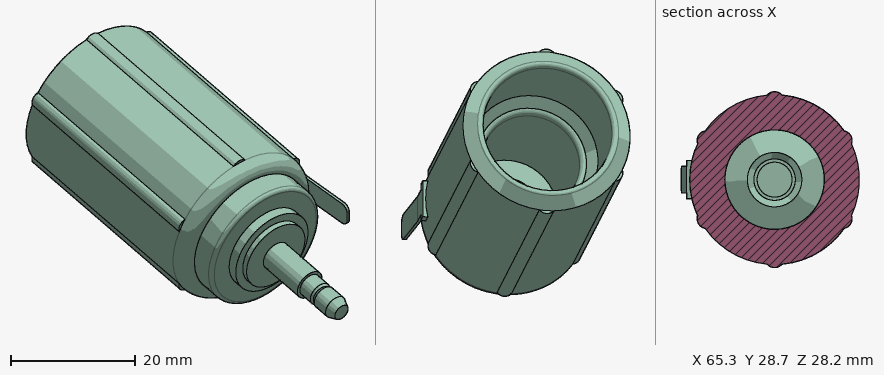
import cadquery as cq
import math

TOTAL_LENGTH = 65.25

BODY_RADIUS = 13.65
BODY_LENGTH = 41.5
BACK_FILLET = 2.4
MOUTH_ANGLE = math.radians(32)
LIP_RADIUS = 0.65
BORE_RADIUS = 10.5
BORE_DEPTH = 13.05
SHELF_RADIUS = 8.95
SHELF_FILLET = 0.9
WELL_RADIUS = 7.95
FLOOR_THICKNESS = 5.9
FLOOR_ANGLE = math.radians(18)
FUNNEL_RADIUS = 4.4
FUNNEL_ANGLE = math.radians(24)
SOCKET_RADIUS = 3.3

RIB_COUNT = 6
RIB_TIP_DIAMETER = 28.25
RIB_ROUND = 1.55

CLIP_START = 34.6
CLIP_END = 48.6
CLIP_THICKNESS = 0.49
CLIP_TOP = 14.1
CLIP_TIP_TOP = 15.0
CLIP_BEND = 39.15
CLIP_ROOT_DEPTH = 0.8
CLIP_WIDTH = 4.3
CLIP_TIP_FILLET = 1.25
CLIP_HEAD_LENGTH = 1.75
CLIP_HEAD_WIDTH = 6.2

BUTTON_RADIUS = 2.8
BUTTON_HEIGHT = 0.2
COLLAR_RADIUS = 11.15
COLLAR_END = 45.75
COLLAR_FILLET = 0.65
FLANGE_RADIUS = 7.45
FLANGE_END = 47.4
RING_RADIUS = 6.0
RING_END = 48.4
SHAFT_RADIUS = 2.55
SHAFT_END = 57.1
PIN_RADIUS = 2.0
GROOVE_START = 59.75
GROOVE_BOTTOM = 60.15
GROOVE_END = 60.75
GROOVE_RADIUS = 1.7
GROOVE_ROUND = 0.7
TIP_START = 63.7
TIP_RADIUS = 1.4

lip_center_radius = BORE_RADIUS + LIP_RADIUS
lip_end_x = LIP_RADIUS * (1 - math.cos(MOUTH_ANGLE))
lip_end_radius = lip_center_radius + LIP_RADIUS * math.sin(MOUTH_ANGLE)
mouth_length = lip_end_x + (BODY_RADIUS - lip_end_radius) * math.tan(MOUTH_ANGLE)

shelf_x = BORE_DEPTH + BORE_RADIUS - SHELF_RADIUS
shelf_edge_radius = WELL_RADIUS + SHELF_FILLET
floor_x = BODY_LENGTH - FLOOR_THICKNESS
funnel_x = floor_x - (WELL_RADIUS - FUNNEL_RADIUS) * math.tan(FLOOR_ANGLE)
socket_x = funnel_x + (FUNNEL_RADIUS - SOCKET_RADIUS) * math.tan(FUNNEL_ANGLE)

rib_end = BODY_LENGTH - BACK_FILLET


def arc_point(center_x, center_radius, radius, angle):
    """Point of a profile arc, at an angle counted from +X towards larger radius."""
    return (center_x + radius * math.cos(angle), center_radius + radius * math.sin(angle))


def turn(profile):
    """Revolve a closed (x, radius) profile about the X axis."""
    return profile.close().revolve(360, (0, 0), (1, 0))


def make_sleeve():
    profile = (
        cq.Workplane("XY")
        .moveTo(lip_end_x, lip_end_radius)
        .lineTo(mouth_length, BODY_RADIUS)
        .lineTo(rib_end, BODY_RADIUS)
        .threePointArc(
            arc_point(rib_end, BODY_RADIUS - BACK_FILLET, BACK_FILLET, math.pi / 4),
            (BODY_LENGTH, BODY_RADIUS - BACK_FILLET),
        )
        .lineTo(BODY_LENGTH, SOCKET_RADIUS)
        .lineTo(socket_x, SOCKET_RADIUS)
        .lineTo(funnel_x, FUNNEL_RADIUS)
        .lineTo(floor_x, WELL_RADIUS)
        .lineTo(shelf_x + SHELF_FILLET, WELL_RADIUS)
        .threePointArc(
            arc_point(shelf_x + SHELF_FILLET, shelf_edge_radius, SHELF_FILLET, -3 * math.pi / 4),
            (shelf_x, shelf_edge_radius),
        )
        .lineTo(shelf_x, SHELF_RADIUS)
        .lineTo(BORE_DEPTH, BORE_RADIUS)
        .lineTo(LIP_RADIUS, BORE_RADIUS)
        .threePointArc(
            arc_point(LIP_RADIUS, lip_center_radius, LIP_RADIUS, math.pi),
            (lip_end_x, lip_end_radius),
        )
    )
    return turn(profile)


def make_ribs():
    """Round bars sunk into the sleeve, the first at the top, evenly spaced."""
    bar = (
        cq.Workplane("YZ", origin=(mouth_length, 0, 0))
        .center(0, RIB_TIP_DIAMETER / 2 - RIB_ROUND)
        .circle(RIB_ROUND)
        .extrude(rib_end - mouth_length)
    )
    return [bar.rotate((0, 0, 0), (1, 0, 0), i * 360 / RIB_COUNT) for i in range(RIB_COUNT)]


def make_clip():
    """Bent leaf with a wider head, rooted in the housing wall."""
    root_y = BODY_RADIUS - CLIP_ROOT_DEPTH
    leaf = (
        cq.Workplane("XY")
        .moveTo(CLIP_START, root_y)
        .lineTo(CLIP_BEND, root_y)
        .lineTo(CLIP_BEND, CLIP_TOP - CLIP_THICKNESS)
        .lineTo(CLIP_END, CLIP_TIP_TOP - CLIP_THICKNESS)
        .lineTo(CLIP_END, CLIP_TIP_TOP)
        .lineTo(CLIP_BEND, CLIP_TOP)
        .lineTo(CLIP_START, CLIP_TOP)
        .close()
        .extrude(CLIP_WIDTH / 2, both=True)
        .edges("|Y and >X")
        .fillet(CLIP_TIP_FILLET)
    )
    head = cq.Workplane("XY").box(
        CLIP_HEAD_LENGTH, CLIP_TOP - root_y, CLIP_HEAD_WIDTH, centered=(False, False, True)
    )
    return leaf.union(head.translate((CLIP_START, root_y, 0)))


def make_housing():
    housing = make_sleeve()
    for rib in make_ribs():
        housing = housing.union(rib)
    return housing.union(make_clip())


def make_plug():
    """Stepped plug whose spigot fills the socket of the housing."""
    collar_fillet_x = COLLAR_END - COLLAR_FILLET
    collar_fillet_radius = COLLAR_RADIUS - COLLAR_FILLET
    profile = (
        cq.Workplane("XZ")
        .moveTo(socket_x - BUTTON_HEIGHT, 0)
        .lineTo(socket_x - BUTTON_HEIGHT, BUTTON_RADIUS)
        .lineTo(socket_x, BUTTON_RADIUS)
        .lineTo(socket_x, SOCKET_RADIUS)
        .lineTo(BODY_LENGTH, SOCKET_RADIUS)
        .lineTo(BODY_LENGTH, COLLAR_RADIUS)
        .lineTo(collar_fillet_x, COLLAR_RADIUS)
        .threePointArc(
            arc_point(collar_fillet_x, collar_fillet_radius, COLLAR_FILLET, math.pi / 4),
            (COLLAR_END, collar_fillet_radius),
        )
        .lineTo(COLLAR_END, FLANGE_RADIUS)
        .lineTo(FLANGE_END, FLANGE_RADIUS)
        .lineTo(FLANGE_END, RING_RADIUS)
        .lineTo(RING_END, RING_RADIUS)
        .lineTo(RING_END, SHAFT_RADIUS)
        .lineTo(SHAFT_END, SHAFT_RADIUS)
        .lineTo(SHAFT_END, PIN_RADIUS)
        .lineTo(GROOVE_START, PIN_RADIUS)
        .lineTo(GROOVE_BOTTOM, GROOVE_RADIUS)
        .radiusArc((GROOVE_END, PIN_RADIUS), -GROOVE_ROUND)
        .lineTo(TIP_START, PIN_RADIUS)
        .lineTo(TOTAL_LENGTH, TIP_RADIUS)
        .lineTo(TOTAL_LENGTH, 0)
    )
    return turn(profile)


housing = make_housing()
plug = make_plug()
result = cq.Compound.makeCompound([housing.val(), plug.val()])